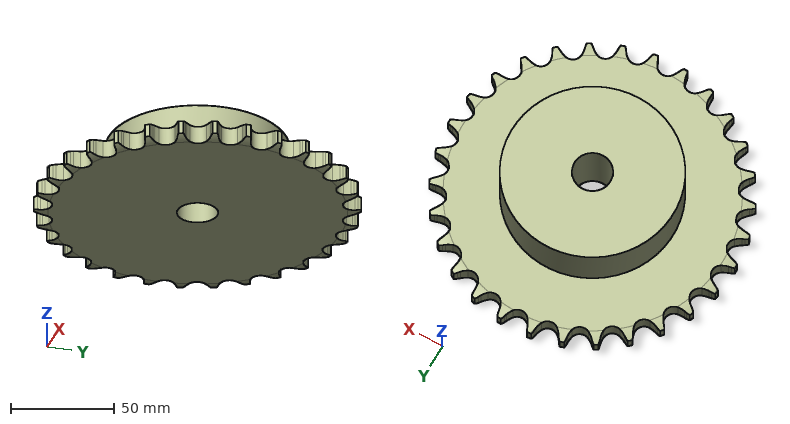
import cadquery as cq
import math

tooth_count = 30
chain_pitch = 15.9
outer_diameter = 158.8
plate_thickness = 9.0
tooth_side_radius = 19.0
tooth_side_depth = 1.3
hub_diameter = 90.0
total_height = 35.0
bore_diameter = 20.0

seat_radius = 5.1
working_radius = 13.2
flank_length = 1.4
topping_radius = 8.3
seat_end_angle = 53
flank_angle = 69
mouth_angle = 45

outer_radius = outer_diameter / 2
pitch_radius = chain_pitch / 2 / math.sin(math.pi / tooth_count)
gap_bottom_radius = pitch_radius - seat_radius
pitch_angle = 360 / tooth_count


def make_blank():
    """Plate with rounded rim sides, revolved about Z."""
    rim_reach = math.sqrt(tooth_side_radius**2 - (tooth_side_radius - tooth_side_depth) ** 2)
    half_sweep = math.asin(rim_reach / tooth_side_radius) / 2
    mid_x = outer_radius - rim_reach + tooth_side_radius * math.sin(half_sweep)
    mid_drop = tooth_side_radius * (1 - math.cos(half_sweep))
    return (
        cq.Workplane("XZ")
        .lineTo(outer_radius - rim_reach, 0)
        .threePointArc((mid_x, mid_drop), (outer_radius, tooth_side_depth))
        .lineTo(outer_radius, plate_thickness - tooth_side_depth)
        .threePointArc(
            (mid_x, plate_thickness - mid_drop),
            (outer_radius - rim_reach, plate_thickness),
        )
        .lineTo(0, plate_thickness)
        .close()
        .revolve(360, (0, 0), (0, 1))
    )


def arc_step(start, radius, start_angle, end_angle):
    """End of an arc whose slope turns between two angles; points are (radial, sideways)."""
    start_slope = math.radians(start_angle)
    end_slope = math.radians(end_angle)
    rise = radius * abs(math.cos(start_slope) - math.cos(end_slope))
    side = radius * abs(math.sin(start_slope) - math.sin(end_slope))
    return (start[0] + rise, start[1] + side)


def mirrored(point):
    """Matching point on the other side of the gap."""
    return (point[0], -point[1])


def make_gap():
    """Cutter for one tooth gap, lying along +X and symmetric about it."""
    bottom = (gap_bottom_radius, 0)
    seat_end = arc_step(bottom, seat_radius, 0, seat_end_angle)
    working_mid = arc_step(seat_end, working_radius, seat_end_angle, (seat_end_angle + flank_angle) / 2)
    working_end = arc_step(seat_end, working_radius, seat_end_angle, flank_angle)
    slope = math.radians(flank_angle)
    flank_end = (
        working_end[0] + flank_length * math.sin(slope),
        working_end[1] + flank_length * math.cos(slope),
    )
    topping_mid = arc_step(flank_end, topping_radius, flank_angle, (flank_angle + mouth_angle) / 2)
    mouth = arc_step(flank_end, topping_radius, flank_angle, mouth_angle)
    return (
        cq.Workplane("XY")
        .moveTo(*mouth)
        .threePointArc(topping_mid, flank_end)
        .lineTo(*working_end)
        .threePointArc(working_mid, seat_end)
        .threePointArc(bottom, mirrored(seat_end))
        .threePointArc(mirrored(working_mid), mirrored(working_end))
        .lineTo(*mirrored(flank_end))
        .threePointArc(mirrored(topping_mid), mirrored(mouth))
        .close()
        .extrude(plate_thickness)
    )


gap = make_gap().val()
gaps = []
for index in range(tooth_count):
    angle = (index + 0.5) * pitch_angle
    gaps.append(gap.rotate(cq.Vector(0, 0, 0), cq.Vector(0, 0, 1), angle))
toothed_plate = make_blank().cut(cq.Workplane(cq.Compound.makeCompound(gaps)))

hub = cq.Workplane("XY").circle(hub_diameter / 2).extrude(total_height)
bore = cq.Workplane("XY").circle(bore_diameter / 2).extrude(total_height)
result = toothed_plate.union(hub).cut(bore)